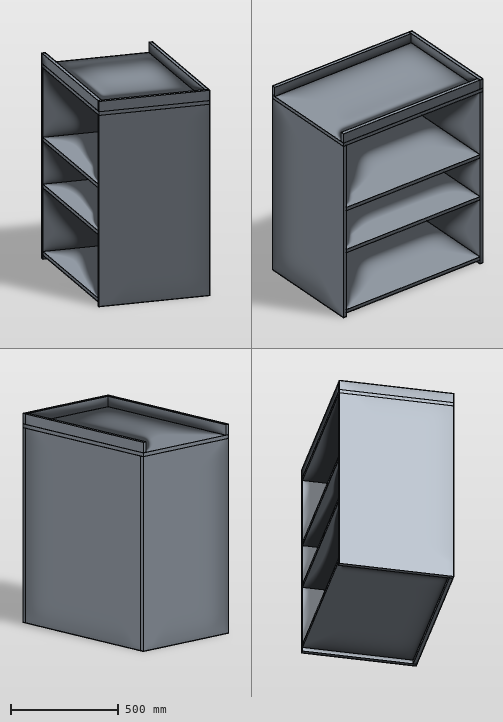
import cadquery as cq

WIDTH = 818.0
DEPTH = 546.0
HEIGHT = 1000.0
BOARD = 18.0
RIM_HEIGHT = 50.0

BOTTOM_LEVEL = 38.0
SHELF_LEVELS = [366.0, 594.0]

worktop_level = HEIGHT - RIM_HEIGHT
carcass_height = worktop_level - BOARD
inner_width = WIDTH - 2 * BOARD
inner_depth = DEPTH - BOARD
rim_length = WIDTH - BOARD


def board(size_x, size_y, size_z, corner):
    """Rectangular board placed by its left, front, lower corner."""
    return cq.Workplane("XY").box(size_x, size_y, size_z, centered=False).translate(corner)


def side_panel(left_x):
    """Full-depth upright standing on the floor below the worktop."""
    return board(BOARD, DEPTH, carcass_height, (left_x, 0, 0))


def inner_board(upper_level):
    """Horizontal board between the side panels, in front of the back panel."""
    return board(inner_width, inner_depth, BOARD, (BOARD, 0, upper_level - BOARD))


def long_rim(front_y):
    """Upstand running along X on the worktop, open to the left end."""
    return board(rim_length, BOARD, RIM_HEIGHT, (0, front_y, worktop_level))


side_panels = [side_panel(x) for x in (0, WIDTH - BOARD)]
back_panel = board(inner_width, BOARD, carcass_height, (BOARD, inner_depth, 0))
bottom_board = inner_board(BOTTOM_LEVEL)
shelves = [inner_board(level) for level in SHELF_LEVELS]

worktop = board(WIDTH, DEPTH, BOARD, (0, 0, carcass_height))
long_rims = [long_rim(y) for y in (0, DEPTH - BOARD)]
side_rim = board(BOARD, DEPTH, RIM_HEIGHT, (rim_length, 0, worktop_level))

bodies = [*side_panels, back_panel, bottom_board, *shelves, worktop, *long_rims, side_rim]
result = cq.Compound.makeCompound([body.val() for body in bodies])